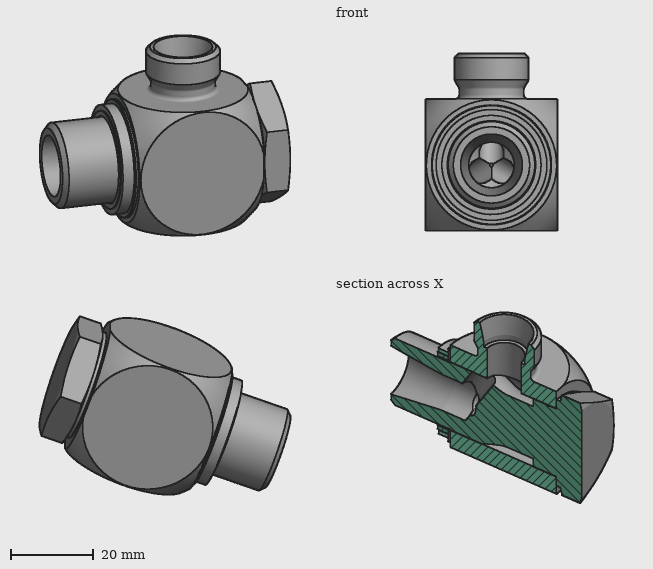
import cadquery as cq
import math


BODY_WIDTH = 32.0
BODY_SPHERE_DIAMETER = 44.9
BACK_TRIM = 0.5
HALF_BODY = BODY_WIDTH / 2
BODY_BACK = HALF_BODY - BACK_TRIM
BODY_FRONT = -HALF_BODY

PORT_TOP = 27.0
PORT_DIAMETER = 18.0
PORT_CHAMFER = 1.0
PORT_THREAD_BOTTOM = 20.55
PORT_NECK_DIAMETER = 15.7
PORT_TAPER_ANGLE = 30
PORT_FILLET = 1.0
PORT_MOUTH_DIAMETER = 14.3
TUBE_DIAMETER = 12.0
TUBE_DEPTH = 7.0
PORT_BORE = 10.0
SEAT_HALF_ANGLE = 12

BOLT_BACK = 23.0
BOLT_LENGTH = 56.5
BOLT_FRONT = BOLT_BACK - BOLT_LENGTH
BOLT_DIAMETER = 20.95
BOLT_TIP_CHAMFER = 1.25
HEX_ACROSS_FLATS = 27.0
HEX_HEIGHT = 6.5
HEX_CHAMFER_ANGLE = 15
HEX_FRONT = BOLT_BACK - HEX_HEIGHT
COLLAR_CHAMFER = 0.1
WAIST_DIAMETER = 16.4
WAIST_BACK = 8.5
WAIST_CORNER = -0.1
WAIST_CONE_ANGLE = 20
WAIST_FILLET = 7.75
BOLT_MOUTH_DIAMETER = 15.0
BOLT_BORE = 11.0
BOLT_TAPER_LENGTH = 15.0
DRILL_HALF_ANGLE = 59
CROSS_HOLE_DIAMETER = 6.0
CROSS_HOLE_TILT = 30
CROSS_HOLE_START = -12.1
CROSS_HOLE_REACH = 16.95
CROSS_HOLE_COUNT = 3
DRILL_APEX = -8.2

SUPPORT_DIAMETER = 29.05
SUPPORT_THICKNESS = 0.7
SUPPORT_CHAMFER = 0.15
HOUSING_RING_DIAMETER = 26.85
HOUSING_RING_LENGTH = 2.8
SEAL_DIAMETER = 24.0
SEAL_BORE = 21.4
SEAL_PROTRUSION = 0.3
SUPPORT_FRONT = BODY_FRONT - SUPPORT_THICKNESS
HOUSING_RING_FRONT = SUPPORT_FRONT - HOUSING_RING_LENGTH


def tan_deg(angle):
    return math.tan(math.radians(angle))


def cylinder_y(diameter, y_start, y_end):
    """Solid cylinder about the Y axis."""
    sketch = cq.Workplane("XZ", origin=(0, y_start, 0)).circle(diameter / 2)
    return sketch.extrude(y_start - y_end)


def ring_y(outer_diameter, inner_diameter, y_start, y_end):
    """Plain ring about the Y axis."""
    return cylinder_y(outer_diameter, y_start, y_end).cut(cylinder_y(inner_diameter, y_start, y_end))


def revolve_y(points):
    """Turned solid about the Y axis from (radius, y) points."""
    return cq.Workplane("XY").polyline(points).close().revolve(360, (0, 0, 0), (0, 1, 0))


def revolve_z(points):
    """Turned solid about the Z axis from (radius, z) points."""
    return cq.Workplane("XZ").polyline(points).close().revolve(360, (0, 0, 0), (0, 1, 0))


def make_port():
    """Threaded port with an undercut neck, filleted where it meets the body."""
    radius = PORT_DIAMETER / 2
    neck = PORT_NECK_DIAMETER / 2
    neck_top = PORT_THREAD_BOTTOM - (radius - neck) / tan_deg(PORT_TAPER_ANGLE)
    bend = math.radians(PORT_TAPER_ANGLE)
    tangent = PORT_FILLET * math.tan(bend / 2)
    fillet_low = (neck, neck_top - tangent)
    fillet_mid = (
        neck + PORT_FILLET * (1 - math.cos(bend / 2)),
        neck_top - tangent + PORT_FILLET * math.sin(bend / 2),
    )
    fillet_high = (neck + tangent * math.sin(bend), neck_top + tangent * math.cos(bend))
    base_mid = PORT_FILLET * (1 - math.sqrt(0.5))
    return (
        cq.Workplane("XZ")
        .moveTo(0, 0)
        .lineTo(neck + PORT_FILLET, 0)
        .lineTo(neck + PORT_FILLET, HALF_BODY)
        .threePointArc((neck + base_mid, HALF_BODY + base_mid), (neck, HALF_BODY + PORT_FILLET))
        .lineTo(*fillet_low)
        .threePointArc(fillet_mid, fillet_high)
        .lineTo(radius, PORT_THREAD_BOTTOM)
        .lineTo(radius, PORT_TOP - PORT_CHAMFER)
        .lineTo(radius - PORT_CHAMFER, PORT_TOP)
        .lineTo(0, PORT_TOP)
        .close()
        .revolve(360, (0, 0, 0), (0, 1, 0))
    )


def make_port_bore():
    """Cone seat, tube socket and through bore, down to the bolt axis."""
    mouth = PORT_MOUTH_DIAMETER / 2
    socket = TUBE_DIAMETER / 2
    bore = PORT_BORE / 2
    seat_depth = (mouth - socket) / tan_deg(SEAT_HALF_ANGLE)
    return revolve_z([
        (0, PORT_TOP),
        (mouth, PORT_TOP),
        (socket, PORT_TOP - seat_depth),
        (socket, PORT_TOP - TUBE_DEPTH),
        (bore, PORT_TOP - TUBE_DEPTH),
        (bore, 0),
        (0, 0),
    ])


def make_body():
    """Round-cornered cube with the tube port on top and the bolt bore through it."""
    cube = cq.Workplane("XY").box(BODY_WIDTH, BODY_WIDTH, BODY_WIDTH)
    body = cube.intersect(cq.Workplane("XY").sphere(BODY_SPHERE_DIAMETER / 2))
    body = body.cut(cylinder_y(2 * BODY_WIDTH, BODY_BACK, HALF_BODY))
    body = body.union(make_port()).cut(make_port_bore())
    return body.cut(cylinder_y(BOLT_DIAMETER, BODY_FRONT, BODY_BACK))


def make_hex_head():
    """Hexagon with points up and down, chamfered on both ends, and a round collar under it."""
    flat_radius = HEX_ACROSS_FLATS / 2
    corner_radius = flat_radius / math.cos(math.pi / 6)
    drop = (corner_radius - flat_radius) * tan_deg(HEX_CHAMFER_ANGLE)
    hexagon = (
        cq.Workplane("XZ", origin=(0, HEX_FRONT, 0))
        .transformed(rotate=(0, 0, 90))
        .polygon(6, 2 * corner_radius)
        .extrude(-HEX_HEIGHT)
    )
    chamfered_blank = revolve_y([
        (0, HEX_FRONT),
        (flat_radius, HEX_FRONT),
        (corner_radius, HEX_FRONT + drop),
        (corner_radius, BOLT_BACK - drop),
        (flat_radius, BOLT_BACK),
        (0, BOLT_BACK),
    ])
    collar = cylinder_y(HEX_ACROSS_FLATS, BODY_BACK, HEX_FRONT).faces("<Y").chamfer(COLLAR_CHAMFER)
    return hexagon.intersect(chamfered_blank).union(collar)


def make_shank():
    """Turned shank with a chamfered tip and a waist that feeds the tube port."""
    radius = BOLT_DIAMETER / 2
    waist = WAIST_DIAMETER / 2
    cone_front = WAIST_CORNER - (radius - waist) / tan_deg(WAIST_CONE_ANGLE)
    bend = math.radians(WAIST_CONE_ANGLE)
    tangent = WAIST_FILLET * math.tan(bend / 2)
    fillet_front = (waist + tangent * math.sin(bend), WAIST_CORNER - tangent * math.cos(bend))
    fillet_back = (waist, WAIST_CORNER + tangent)
    fillet_mid = (
        waist + WAIST_FILLET * (1 - math.cos(bend / 2)),
        WAIST_CORNER + tangent - WAIST_FILLET * math.sin(bend / 2),
    )
    return (
        cq.Workplane("XY")
        .moveTo(0, BOLT_FRONT)
        .lineTo(radius - BOLT_TIP_CHAMFER, BOLT_FRONT)
        .lineTo(radius, BOLT_FRONT + BOLT_TIP_CHAMFER)
        .lineTo(radius, cone_front)
        .lineTo(*fillet_front)
        .threePointArc(fillet_mid, fillet_back)
        .lineTo(waist, WAIST_BACK)
        .lineTo(radius, WAIST_BACK)
        .lineTo(radius, HEX_FRONT)
        .lineTo(0, HEX_FRONT)
        .close()
        .revolve(360, (0, 0, 0), (0, 1, 0))
    )


def make_bolt_bore():
    """Long taper from the tip, then a drilled bore with a pointed end."""
    mouth = BOLT_MOUTH_DIAMETER / 2
    bore = BOLT_BORE / 2
    return revolve_y([
        (0, BOLT_FRONT),
        (mouth, BOLT_FRONT),
        (bore, BOLT_FRONT + BOLT_TAPER_LENGTH),
        (bore, DRILL_APEX - bore / tan_deg(DRILL_HALF_ANGLE)),
        (0, DRILL_APEX),
    ])


def make_cross_holes():
    """Sloping holes that meet on the bolt axis and leave through the waist."""
    hole = (
        cq.Workplane("XY")
        .circle(CROSS_HOLE_DIAMETER / 2)
        .extrude(CROSS_HOLE_REACH)
        .rotate((0, 0, 0), (1, 0, 0), -CROSS_HOLE_TILT)
        .translate((0, CROSS_HOLE_START, 0))
    )
    holes = hole
    for index in range(1, CROSS_HOLE_COUNT):
        angle = index * 360 / CROSS_HOLE_COUNT
        holes = holes.union(hole.rotate((0, 0, 0), (0, 1, 0), angle))
    return holes


def make_bolt():
    """Hollow hexagon bolt with cross holes from its bore to its waist."""
    passages = make_bolt_bore().union(make_cross_holes())
    return make_shank().union(make_hex_head()).cut(passages)


def make_support_ring():
    """Thin ring against the body's front face."""
    ring = ring_y(SUPPORT_DIAMETER, BOLT_DIAMETER, SUPPORT_FRONT, BODY_FRONT)
    return ring.faces("<Y").edges(cq.selectors.RadiusNthSelector(-1)).chamfer(SUPPORT_CHAMFER)


def make_housing_ring():
    """Ring that holds the seal."""
    return ring_y(HOUSING_RING_DIAMETER, SEAL_DIAMETER, HOUSING_RING_FRONT, SUPPORT_FRONT)


def make_seal():
    """Seal inside the housing ring, standing slightly proud of it and clear of the bolt."""
    return ring_y(SEAL_DIAMETER, SEAL_BORE, HOUSING_RING_FRONT - SEAL_PROTRUSION, SUPPORT_FRONT)


body = make_body()
bolt = make_bolt()
support_ring = make_support_ring()
housing_ring = make_housing_ring()
seal = make_seal()

result = cq.Compound.makeCompound([
    body.val(),
    bolt.val(),
    support_ring.val(),
    housing_ring.val(),
    seal.val(),
])